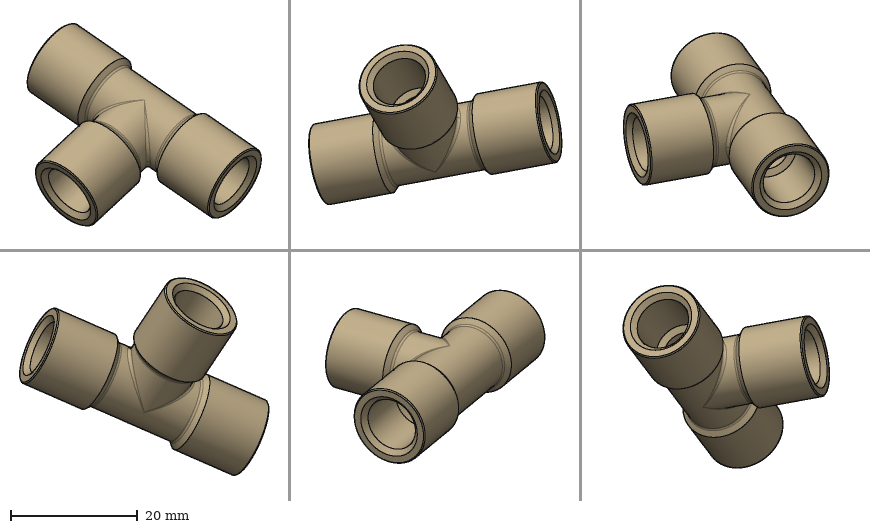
import cadquery as cq
import math

run_length = 38.0
arm_length = run_length / 2
collar_radius = 6.5
neck_radius = 5.55
run_collar_length = 10.7
branch_collar_length = 10.53
shoulder_length = collar_radius - neck_radius
shoulder_blend_radius = 0.57
junction_blend_radius = 0.5
rim_chamfer = 0.2

bore_radius = 3.25
socket_radius = 4.35
socket_mouth_radius = 5.15
socket_mouth_depth = socket_mouth_radius - socket_radius
socket_depth = 9.5
socket_floor_half_angle = 59.0
socket_floor_depth = (socket_radius - bore_radius) / math.tan(math.radians(socket_floor_half_angle))


def revolve_arm(profile):
    """Revolve a (radius, distance from the tee centre) outline about the Z axis."""
    return profile.close().revolve(360, (0, 0), (0, 1))


def arm_body(collar_length):
    """Neck, sloped shoulder and collar of one arm, pointing along +Z."""
    collar_start = arm_length - collar_length
    shoulder_foot = collar_start - shoulder_length

    slope = math.radians(45)
    blend_start = shoulder_foot - shoulder_blend_radius * math.tan(slope / 2)

    def blend_point(angle):
        return (
            neck_radius + shoulder_blend_radius * (1 - math.cos(angle)),
            blend_start + shoulder_blend_radius * math.sin(angle),
        )

    profile = (
        cq.Workplane("XZ")
        .lineTo(neck_radius, 0)
        .lineTo(neck_radius, blend_start)
        .threePointArc(blend_point(slope / 2), blend_point(slope))
        .lineTo(collar_radius, collar_start)
        .lineTo(collar_radius, arm_length - rim_chamfer)
        .lineTo(collar_radius - rim_chamfer, arm_length)
        .lineTo(0, arm_length)
    )
    return revolve_arm(profile)


def arm_cavity():
    """Bore, cone-floored socket and flared mouth of one arm, pointing along +Z."""
    socket_end = arm_length - socket_depth
    profile = (
        cq.Workplane("XZ")
        .lineTo(bore_radius, 0)
        .lineTo(bore_radius, socket_end - socket_floor_depth)
        .lineTo(socket_radius, socket_end)
        .lineTo(socket_radius, arm_length - socket_mouth_depth)
        .lineTo(socket_mouth_radius, arm_length)
        .lineTo(0, arm_length)
    )
    return revolve_arm(profile)


def tee(run_arm, branch_arm):
    """Join two run arms along -X and +X with a branch arm along -Y."""
    left_arm = run_arm.rotate((0, 0, 0), (0, 1, 0), -90)
    right_arm = left_arm.rotate((0, 0, 0), (0, 0, 1), 180)
    branch = branch_arm.rotate((0, 0, 0), (1, 0, 0), 90)
    return left_arm.union(right_arm).union(branch)


def blend_junction(body):
    """Round the two inside corners where the branch neck meets the run neck."""
    return body.edges("%ELLIPSE").fillet(junction_blend_radius)


body = tee(arm_body(run_collar_length), arm_body(branch_collar_length))
cavity = tee(arm_cavity(), arm_cavity())
result = blend_junction(body).cut(cavity)